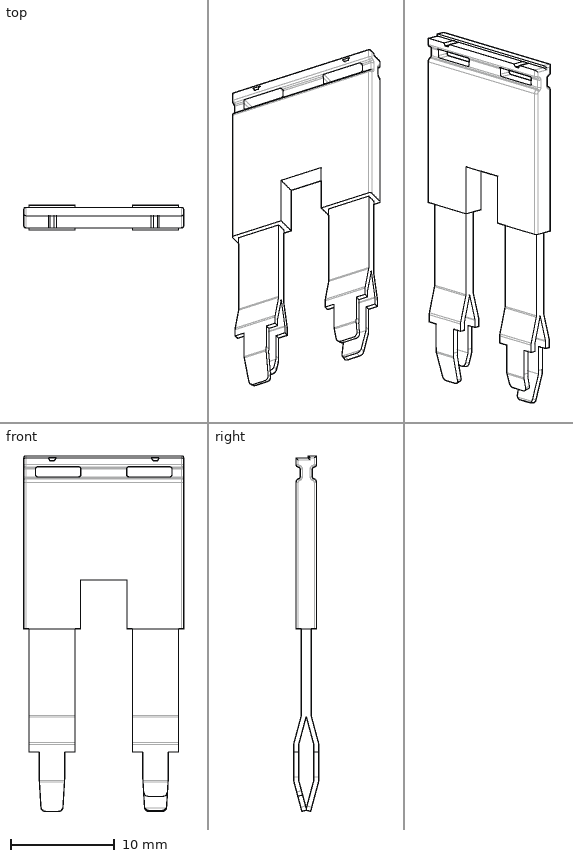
import cadquery as cq
import math


width = 15.45
total_depth = 34.34
prong_spread = 2.42

plate_thickness = 2.0
plate_depth = 16.72
end_round = 0.22
lip_thickness = 0.82
lip_height = 0.21
slot_width = 4.45
slot_top_depth = 12.0

neck_thickness = 1.18
head_edge_depth = 1.0
neck_top_depth = 1.2
neck_bottom_depth = 2.12
shoulder_edge_depth = 2.34
head_edge_round = 0.25
shoulder_edge_round = 0.4
neck_corner_round = 0.15

window_width = 4.35
window_offset = 4.4
window_top_depth = 1.08
window_bottom_depth = 2.03
window_corner_round = 0.2

notch_top_inner = 4.58
notch_floor_inner = 4.8
notch_floor_outer = 5.2
notch_top_outer = 5.33
notch_depth = 0.48

leg_pitch = 10.0
leg_width = 4.45
leg_thickness = 1.0
prong_thickness = leg_thickness / 2
prong_angle = math.radians(15)
prong_bulge_depth = 27.78
prong_tuck_depth = 31.43
prong_step_depth = 28.61
prong_narrow_width = 2.5
taper_start_depth = 31.0
prong_tip_width = 2.1
short_prong_depth = 32.87
tip_corner_round = 0.45
split_bend_radius = 0.5
bulge_outer_radius = 0.75
bulge_inner_radius = bulge_outer_radius - prong_thickness
tuck_outer_radius = 0.5


def edges_along_x_at(solid, y, z):
    """Edges parallel to X that pass through the point (y, z)."""
    reach = 0.02
    box = cq.selectors.BoxSelector(
        (-width, y - reach, z - reach), (width, y + reach, z + reach)
    )
    return solid.edges("|X").edges(box)


def plate_profile():
    """Plate cross-section in YZ, extruded over the full width."""
    half = plate_thickness / 2
    neck = neck_thickness / 2
    ledge_y = half - lip_thickness
    points = [
        (half, 0),
        (ledge_y, 0),
        (ledge_y, -lip_height),
        (-half, -lip_height),
        (-half, -head_edge_depth),
        (-neck, -neck_top_depth),
        (-neck, -neck_bottom_depth),
        (-half, -shoulder_edge_depth),
        (-half, -plate_depth),
        (half, -plate_depth),
        (half, -shoulder_edge_depth),
        (neck, -neck_bottom_depth),
        (neck, -neck_top_depth),
        (half, -head_edge_depth),
    ]
    return cq.Workplane("YZ").polyline(points).close().extrude(width / 2, both=True)


def round_groove(plate):
    half = plate_thickness / 2
    neck = neck_thickness / 2
    corners = [
        (half, head_edge_depth, head_edge_round),
        (neck, neck_top_depth, neck_corner_round),
        (neck, neck_bottom_depth, neck_corner_round),
        (half, shoulder_edge_depth, shoulder_edge_round),
    ]
    for side in (-1, 1):
        for y, depth, radius in corners:
            plate = edges_along_x_at(plate, side * y, -depth).fillet(radius)
    return plate


def round_ends(plate):
    """Round the rim of both end faces, leaving the flat underside sharp."""
    return plate.faces("<X or >X").edges("not(<Z)").fillet(end_round)


def leg_slot():
    height = plate_depth - slot_top_depth
    middle = -(plate_depth + slot_top_depth) / 2
    return cq.Workplane("XY").box(slot_width, 2 * plate_thickness, height).translate((0, 0, middle))


def window(side):
    height = window_bottom_depth - window_top_depth
    middle = -(window_bottom_depth + window_top_depth) / 2
    block = cq.Workplane("XY").box(window_width, 2 * plate_thickness, height)
    block = block.edges("|Y").fillet(window_corner_round)
    return block.translate((side * window_offset, 0, middle))


def notch(side):
    """Tapered channel through the head, passing under the lip."""
    points = [
        (side * notch_top_inner, -lip_height),
        (side * notch_floor_inner, -notch_depth),
        (side * notch_floor_outer, -notch_depth),
        (side * notch_top_outer, -lip_height),
    ]
    return cq.Workplane("XZ").polyline(points).close().extrude(plate_thickness, both=True)


def grip_plate():
    plate = round_ends(round_groove(plate_profile()))
    plate = plate.cut(leg_slot())
    for side in (-1, 1):
        plate = plate.cut(window(side)).cut(notch(side))
    return plate


def prong_side_view(tip_depth):
    """Bent strip on the +Y side, ending square to its own slope at tip_depth."""
    slope = math.tan(prong_angle)
    bulge_y = prong_spread / 2
    inner_y = bulge_y - prong_thickness
    bend_shift = prong_thickness * math.tan(prong_angle / 2)

    split_depth = prong_bulge_depth - inner_y / slope
    inner_bulge_depth = prong_bulge_depth + bend_shift
    inner_tuck_depth = prong_tuck_depth - bend_shift
    apex_depth = inner_bulge_depth - inner_y / slope
    tip_y = bulge_y - (tip_depth - prong_tuck_depth) * slope
    inner_tip_y = tip_y - prong_thickness * math.cos(prong_angle)
    inner_tip_depth = tip_depth - prong_thickness * math.sin(prong_angle)

    points = [
        (0, -plate_depth),
        (prong_thickness, -plate_depth),
        (prong_thickness, -split_depth),
        (bulge_y, -prong_bulge_depth),
        (bulge_y, -prong_tuck_depth),
        (tip_y, -tip_depth),
        (inner_tip_y, -inner_tip_depth),
        (inner_y, -inner_tuck_depth),
        (inner_y, -inner_bulge_depth),
        (0, -apex_depth),
    ]
    bends = [
        (prong_thickness, split_depth, split_bend_radius),
        (bulge_y, prong_bulge_depth, bulge_outer_radius),
        (inner_y, inner_bulge_depth, bulge_inner_radius),
        (bulge_y, prong_tuck_depth, tuck_outer_radius),
    ]
    strip = cq.Workplane("YZ").polyline(points).close().extrude(leg_width / 2, both=True)
    for y, depth, radius in bends:
        strip = edges_along_x_at(strip, y, -depth).fillet(radius)
    return strip


def prong_front_outline():
    """Wide shoulders, a narrow finger, then a slight taper to the tip."""
    right_edge = [
        (leg_width / 2, -plate_depth),
        (leg_width / 2, -prong_step_depth),
        (prong_narrow_width / 2, -prong_step_depth),
        (prong_narrow_width / 2, -taper_start_depth),
        (prong_tip_width / 2, -total_depth),
    ]
    left_edge = [(-x, z) for x, z in reversed(right_edge)]
    outline = cq.Workplane("XZ").polyline(right_edge + left_edge).close()
    return outline.extrude(prong_spread, both=True)


def prong(tip_depth):
    """One prong on the +Y side with rounded tip corners, kept on its own side of Y = 0."""
    strip = prong_side_view(tip_depth).intersect(prong_front_outline())
    strip = strip.faces("<Z").edges("not(|X)").fillet(tip_corner_round)
    own_side = cq.Workplane("XY").box(
        leg_width, prong_spread, total_depth + plate_depth, centered=(True, False, True)
    )
    return strip.intersect(own_side.translate((0, 0, -total_depth / 2)))


def leg():
    """Long prong on the -Y side, short prong on the +Y side."""
    return prong(short_prong_depth).union(prong(total_depth).mirror("XZ"))


left_leg = leg().translate((-leg_pitch / 2, 0, 0))
right_leg = leg().mirror("XZ").translate((leg_pitch / 2, 0, 0))

result = grip_plate().union(left_leg).union(right_leg)